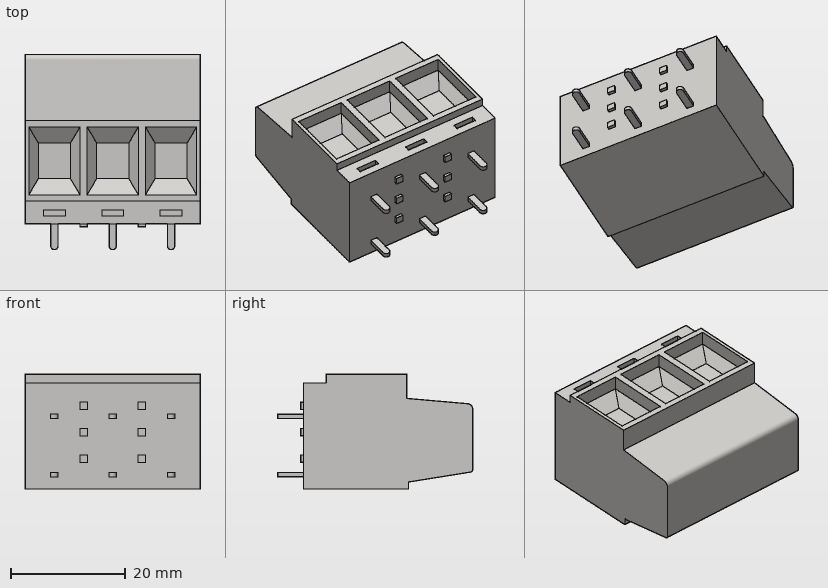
import cadquery as cq


POLE_COUNT = 3
POLE_PITCH = 10.16

BODY_WIDTH = 30.5
BODY_DEPTH = 29.5
BODY_HEIGHT = 20.0
LEDGE_DEPTH = 3.95
LEDGE_HEIGHT = 18.5
BLOCK_BACK = 18.0
BASE_BACK = 18.3
UPPER_SLOPE_FRONT_Z = 15.8
UPPER_SLOPE_REAR_Z = 14.8
LOWER_SLOPE_FRONT_Z = 1.2
LOWER_SLOPE_REAR_Z = 3.0
UPPER_REAR_RADIUS = 1.0
LOWER_REAR_RADIUS = 0.5

POCKET_WIDTH = 8.9
POCKET_LENGTH = 11.8
POCKET_Y = (LEDGE_DEPTH + BLOCK_BACK) / 2
POCKET_STRAIGHT_DEPTH = 2.5
POCKET_TAPER_DEPTH = 1.9
POCKET_FLOOR_WIDTH = 5.6
POCKET_FLOOR_LENGTH = 6.2

SLOT_WIDTH = 3.8
SLOT_LENGTH = 1.0
SLOT_DEPTH = 1.0
SLOT_Y = 1.9

PIN_LENGTH = 4.5
PIN_WIDTH = 1.3
PIN_THICKNESS = 0.8
LOWER_PIN_Z = 2.5
PIN_ROW_PITCH = POLE_PITCH

PEG_SIZE = 1.3
PEG_HEIGHT = 0.5
PEG_ROWS = 3
PEG_ROW_PITCH = 4.6
PEG_MIDDLE_Z = 9.9


def centred_positions(count, pitch):
    """Evenly spaced coordinates, symmetric about zero."""
    return [(i - (count - 1) / 2) * pitch for i in range(count)]


def make_housing():
    """Side profile in the YZ plane, extruded across the full width."""
    profile = [
        (0, 0),
        (0, LEDGE_HEIGHT),
        (LEDGE_DEPTH, LEDGE_HEIGHT),
        (LEDGE_DEPTH, BODY_HEIGHT),
        (BLOCK_BACK, BODY_HEIGHT),
        (BLOCK_BACK, UPPER_SLOPE_FRONT_Z),
        (BODY_DEPTH, UPPER_SLOPE_REAR_Z),
        (BODY_DEPTH, LOWER_SLOPE_REAR_Z),
        (BASE_BACK, LOWER_SLOPE_FRONT_Z),
        (BASE_BACK, 0),
    ]
    housing = cq.Workplane("YZ").polyline(profile).close().extrude(BODY_WIDTH / 2, both=True)
    housing = housing.faces(">Y").edges(">Z").fillet(UPPER_REAR_RADIUS)
    return housing.faces(">Y").edges("<Z").fillet(LOWER_REAR_RADIUS)


def make_pocket(x):
    """Straight-walled opening that narrows to a smaller flat floor."""
    taper_top = BODY_HEIGHT - POCKET_STRAIGHT_DEPTH
    opening = (
        cq.Workplane("XY", origin=(x, POCKET_Y, taper_top))
        .rect(POCKET_WIDTH, POCKET_LENGTH)
        .extrude(POCKET_STRAIGHT_DEPTH)
    )
    funnel = (
        cq.Workplane("XY", origin=(x, POCKET_Y, taper_top))
        .rect(POCKET_WIDTH, POCKET_LENGTH)
        .workplane(offset=-POCKET_TAPER_DEPTH)
        .rect(POCKET_FLOOR_WIDTH, POCKET_FLOOR_LENGTH)
        .loft(ruled=True)
    )
    return opening.union(funnel)


def make_slot(x):
    """Shallow rectangular recess in the front ledge."""
    return (
        cq.Workplane("XY", origin=(x, SLOT_Y, LEDGE_HEIGHT))
        .rect(SLOT_WIDTH, SLOT_LENGTH)
        .extrude(-SLOT_DEPTH)
    )


def make_pin(x, z):
    """Flat pin with a fully rounded tip, lying in the XY plane."""
    half_width = PIN_WIDTH / 2
    tip_start = half_width - PIN_LENGTH
    return (
        cq.Workplane("XY", origin=(x, 0, z))
        .moveTo(-half_width, 0)
        .lineTo(-half_width, tip_start)
        .threePointArc((0, -PIN_LENGTH), (half_width, tip_start))
        .lineTo(half_width, 0)
        .close()
        .extrude(PIN_THICKNESS / 2, both=True)
    )


def make_peg(x, z):
    """Square stand-off on the front face."""
    return cq.Workplane("XZ", origin=(x, 0, z)).rect(PEG_SIZE, PEG_SIZE).extrude(PEG_HEIGHT)


result = make_housing()

for pole_x in centred_positions(POLE_COUNT, POLE_PITCH):
    result = result.cut(make_pocket(pole_x)).cut(make_slot(pole_x))
    for pin_z in (LOWER_PIN_Z, LOWER_PIN_Z + PIN_ROW_PITCH):
        result = result.union(make_pin(pole_x, pin_z))

for peg_x in centred_positions(POLE_COUNT - 1, POLE_PITCH):
    for peg_offset in centred_positions(PEG_ROWS, PEG_ROW_PITCH):
        result = result.union(make_peg(peg_x, PEG_MIDDLE_Z + peg_offset))